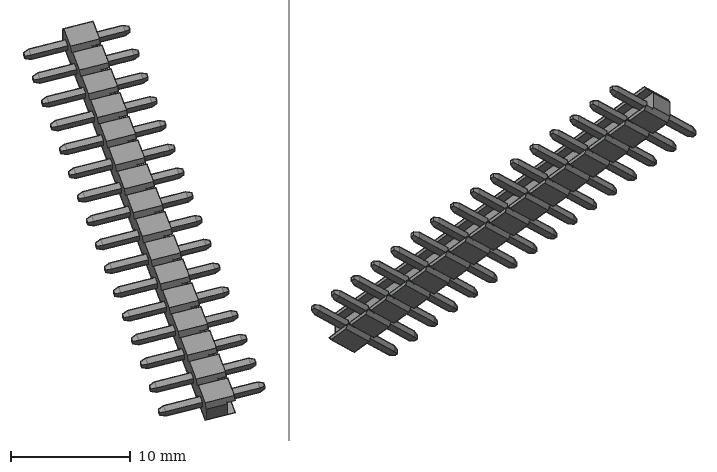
import cadquery as cq

pin_count = 16
length = 40.65
pitch = length / pin_count
housing_depth = 2.55
housing_height = 2.5
notch_half_width = 0.33
notch_depth = 0.5

channel_height = 1.75
channel_depth = 0.75

pin_width = 0.65
tip_width = 0.35
tip_length = 0.5
pin_front_length = 3.7
pin_rear_length = 2.93
pin_offset = 0.12

housing_front = -housing_depth / 2
housing_rear = housing_depth / 2
pin_front = housing_front - pin_front_length
pin_rear = housing_rear + pin_rear_length


def make_cell(left):
    """One eight-sided housing cell starting at X = left."""
    right = left + pitch
    top = housing_height / 2
    shoulder = top - notch_depth
    outline = [
        (left, -shoulder),
        (left + notch_half_width, -top),
        (right - notch_half_width, -top),
        (right, -shoulder),
        (right, shoulder),
        (right - notch_half_width, top),
        (left + notch_half_width, top),
        (left, shoulder),
    ]
    return (
        cq.Workplane("XZ", origin=(0, housing_rear, 0))
        .polyline(outline)
        .close()
        .extrude(housing_depth)
    )


def make_tip(x, base_y, end_y):
    """Tapered tip from the full pin section at base_y to the small end at end_y."""
    return (
        cq.Workplane("XZ", origin=(x, base_y, 0))
        .rect(pin_width, pin_width)
        .workplane(offset=base_y - end_y)
        .rect(tip_width, tip_width)
        .loft(ruled=True)
    )


def make_pin(x):
    """A square pin through the housing, tapered at both ends."""
    shank_front = pin_front + tip_length
    shank_rear = pin_rear - tip_length
    shank = (
        cq.Workplane("XZ", origin=(x, shank_rear, 0))
        .rect(pin_width, pin_width)
        .extrude(shank_rear - shank_front)
    )
    front_tip = make_tip(x, shank_front, pin_front)
    rear_tip = make_tip(x, shank_rear, pin_rear)
    return shank.union(front_tip).union(rear_tip)


cell_lefts = [-length / 2 + i * pitch for i in range(pin_count)]

housing = make_cell(cell_lefts[0])
for left in cell_lefts[1:]:
    housing = housing.union(make_cell(left))

channel = cq.Workplane("XY").box(length, channel_depth, channel_height)
channel = channel.translate((0, housing_rear - channel_depth / 2, 0))
housing = housing.cut(channel)

result = housing
for left in cell_lefts:
    result = result.union(make_pin(left + pitch / 2 - pin_offset))